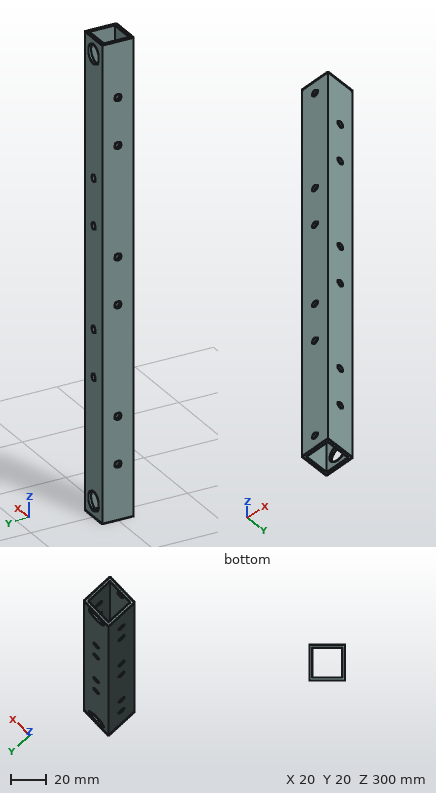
import cadquery as cq

length = 300.0
side = 20.0
wall = 1.8
bore = side - 2 * wall
hole_diameter = 4.2
access_diameter = 12.0

end_hole_height = 140.0
pair_pitch = 30.0
y_pair_centre = 47.5
end_hole_heights = [-end_hole_height, end_hole_height]
y_hole_heights = list(end_hole_heights)

x_pair_spacing = 100.0
x_hole_heights = []


def pair_heights(centre):
    """Heights of the two holes of a pair around its centre height."""
    return [centre - pair_pitch / 2, centre + pair_pitch / 2]


def cross_holes(plane, heights):
    """Cylinders crossing both opposite walls at the given heights."""
    return (
        cq.Workplane(plane)
        .pushPoints([(0, height) for height in heights])
        .circle(hole_diameter / 2)
        .extrude(side, both=True)
    )


for direction in (-1, 1):
    y_hole_heights += pair_heights(direction * y_pair_centre)

for step in (-1, 0, 1):
    x_hole_heights += pair_heights(step * x_pair_spacing)

tube = cq.Workplane("XY").rect(side, side).rect(bore, bore).extrude(length / 2, both=True)

access_openings = (
    cq.Workplane("XZ")
    .pushPoints([(0, height) for height in end_hole_heights])
    .circle(access_diameter / 2)
    .extrude(-side)
)

result = (
    tube.cut(cross_holes("XZ", y_hole_heights))
    .cut(cross_holes("YZ", x_hole_heights))
    .cut(access_openings)
)